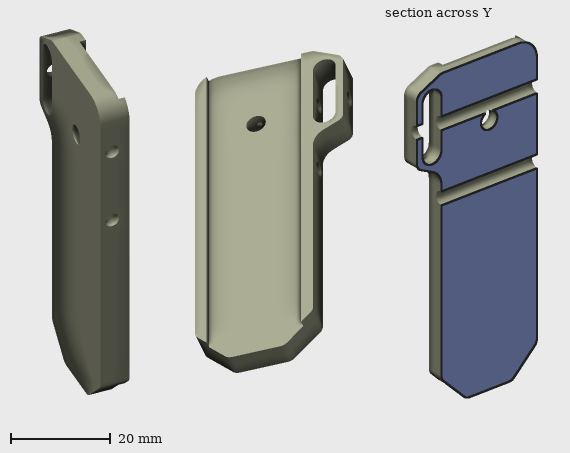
import cadquery as cq

length = 76.2
width = 31.4
thickness = 6.3

body_width = 25.0
lug_reach = width - body_width
lug_edge_top = length - 3.1
slope_drop = 3.1
slot_width = 4.8
slot_length = 16.85
slot_center_z = length - 11.4
lug_edge_bottom = 2 * slot_center_z - lug_edge_top

bottom_chamfer = 6.55
corner_radius = 2.0
lug_root_radius = 4.0
top_corner_radius = 4.95

channel_width = 20.0
channel_depth = 1.4

body_center_x = lug_reach + body_width / 2
face_hole_diameter = 4.1
face_hole_z = length - 14.9
cross_hole_diameter = 3.05
cross_hole_y = (thickness - channel_depth) / 2
cross_hole_heights = (slot_center_z, length - 28.5)


def make_body():
    """Extrude the outline from the front face (Y = 0) and round its corners."""
    lug_corners = [(0, lug_edge_bottom), (0, lug_edge_top)]
    slope_end = (lug_reach, length)
    lug_root = (lug_reach, lug_edge_bottom - slope_drop)
    top_corner = (width, length)
    bottom_corners = [
        (width, bottom_chamfer),
        (width - bottom_chamfer, 0),
        (lug_reach + bottom_chamfer, 0),
        (lug_reach, bottom_chamfer),
    ]
    outline = lug_corners + [slope_end, top_corner] + bottom_corners + [lug_root]
    body = cq.Workplane("XZ").polyline(outline).close().extrude(-thickness)

    def round_corners(solid, corners, radius):
        for x, z in corners:
            edge = cq.selectors.NearestToPointSelector((x, thickness / 2, z))
            solid = solid.edges("|Y").edges(edge).fillet(radius)
        return solid

    body = round_corners(body, lug_corners + [slope_end] + bottom_corners, corner_radius)
    body = round_corners(body, [lug_root], lug_root_radius)
    return round_corners(body, [top_corner], top_corner_radius)


def make_lug_slot():
    """Round-ended slot whose inner side lines up with the body's edge."""
    return (
        cq.Workplane("XZ")
        .center(lug_reach - slot_width / 2, slot_center_z)
        .slot2D(slot_length, slot_width, 90)
        .extrude(-thickness)
    )


def make_channel():
    """Shallow channel running the full length of the back face."""
    return cq.Workplane("XY").box(
        channel_width, channel_depth, length, centered=(True, False, False)
    ).translate((body_center_x, thickness - channel_depth, 0))


def make_face_hole():
    return (
        cq.Workplane("XZ")
        .center(body_center_x, face_hole_z)
        .circle(face_hole_diameter / 2)
        .extrude(-thickness)
    )


def make_cross_holes():
    """Holes passing through the whole width, one of them crossing the slot."""
    centers = [(cross_hole_y, z) for z in cross_hole_heights]
    return (
        cq.Workplane("YZ")
        .pushPoints(centers)
        .circle(cross_hole_diameter / 2)
        .extrude(width)
    )


result = (
    make_body()
    .cut(make_lug_slot())
    .cut(make_channel())
    .cut(make_face_hole())
    .cut(make_cross_holes())
)